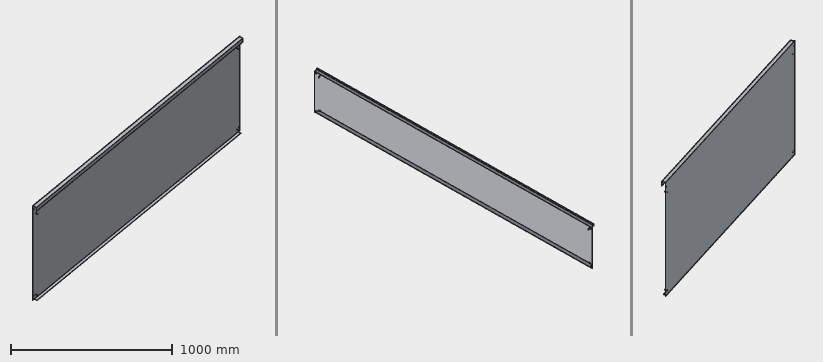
import cadquery as cq

length = 2000.0
height = 802.0
depth = 28.0
sheet = 1.0

top_flange_inset = 5.0
bottom_flange_inset = 15.0
lip_drop = 32.0
bottom_flange_depth = 22.0

hole_diameter = 5.0
hole_end_distance = 10.0
hole_edge_distance = 35.0

stud_diameter = 5.0
stud_reach = 18.0
upper_stud_drop = 82.0
lower_stud_rise = 30.0
stud_end_distance = 30.0


def strip(x_start, x_end, z_start, z_end, strip_length):
    """Flat sheet strip centred along the panel length."""
    return (
        cq.Workplane("XY")
        .box(x_end - x_start, strip_length, z_end - z_start, centered=(False, True, False))
        .translate((x_start, 0, z_start))
    )


def folded_panel():
    """Panel face with a hooked top flange and a plain bottom flange."""
    top_length = length - 2 * top_flange_inset
    bottom_length = length - 2 * bottom_flange_inset
    face = strip(0, sheet, 0, height, length)
    top_flange = strip(0, depth, height - sheet, height, top_length)
    lip = strip(depth - sheet, depth, height - lip_drop, height, top_length)
    bottom_flange = strip(0, bottom_flange_depth, 0, sheet, bottom_length)
    return face.union(top_flange).union(lip).union(bottom_flange)


def corner_holes():
    """Cutters for the four holes through the panel face."""
    hole_y = length / 2 - hole_end_distance
    corners = [
        (y, z)
        for y in (-hole_y, hole_y)
        for z in (hole_edge_distance, height - hole_edge_distance)
    ]
    return cq.Workplane("YZ").pushPoints(corners).circle(hole_diameter / 2).extrude(sheet)


def studs():
    """Short round studs standing on the inner face near both ends."""
    stud_y = length / 2 - stud_end_distance
    places = [
        (y, z)
        for y in (-stud_y, stud_y)
        for z in (lower_stud_rise, height - upper_stud_drop)
    ]
    return cq.Workplane("YZ").pushPoints(places).circle(stud_diameter / 2).extrude(stud_reach)


result = folded_panel().union(studs()).cut(corner_holes())